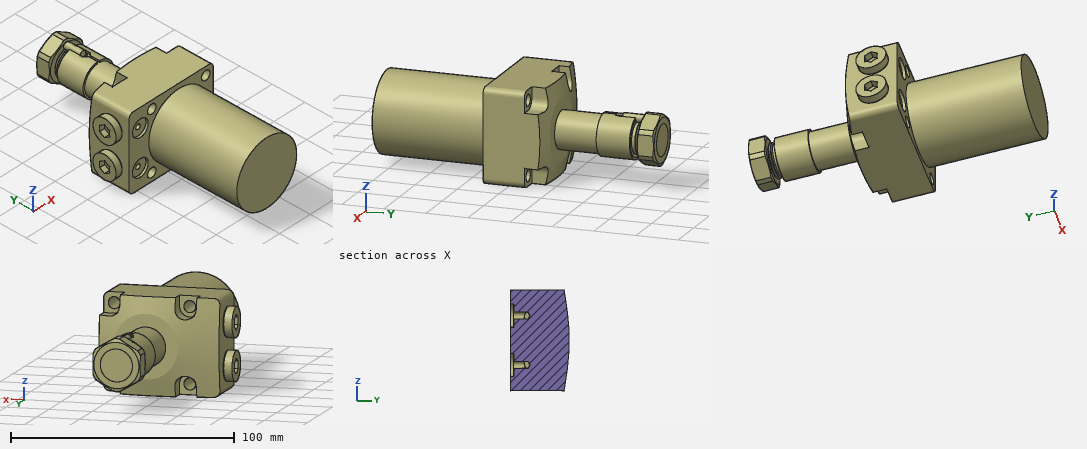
import cadquery as cq
import math


overall_length = 131.0
barrel_length = 54.0
barrel_radius = 19.5
flange_size = 45.0
flange_half = flange_size / 2
flange_left = 32.5
flange_height = 29.1
flange_corner_radius = 3.0
crown_radius = 14.9
crown_slope = math.tan(math.radians(15))

screw_pitch_half = 17.5
screw_hole_radius = 2.8
spot_face_radius = 4.7
spot_face_y = 19.6

port_x = -25.0
port_z = 11.0
port_recess_radius = 5.1
port_recess_depth = 1.5
port_passage_radius = 1.5
port_passage_depth = 7.9
drill_tip_angle = 118

plug_y = 11.0
plug_z = 10.0
plug_head_radius = 7.1
plug_head_height = 4.2
plug_head_rim = 0.4
plug_head_rim_step = 0.2
plug_shank_radius = 4.8
plug_shank_length = 7.3
plug_socket_width = 6.0
plug_socket_depth = 3.3

rod_radius = 9.0
neck_start = 65.1
neck_radius = 7.5
thread_crest_radius = 8.3
thread_pitch = 1.0
thread_start = 66.7
thread_turns = 2

collar_start = 49.3
collar_end = neck_start
collar_radius = 10.1
collar_slot_center = 57.1
collar_slot_radius = 2.2
collar_slit_width = 1.2

pin_radius = 2.0
pin_z = rod_radius
pin_start = 58.8

nut_end = overall_length - barrel_length
nut_start = 68.9
nut_width = 22.0
nut_corner_radius = 12.0
nut_chamfer_height = 0.5
nut_chamfer_width = 1.6

corner_factor = 2 / math.sqrt(3)


def y_cylinder(radius, start, end, x=0, z=0):
    """Cylinder along Y from start to end."""
    base = cq.Vector(x, start, z)
    return cq.Workplane(cq.Solid.makeCylinder(radius, end - start, base, cq.Vector(0, 1, 0)))


def turned(profile):
    """Solid of revolution about the Y axis from (radius, y) points."""
    return cq.Workplane("XY").polyline(profile).close().revolve(360, (0, 0), (0, 1))


def y_hexagon(width, start, end):
    """Hexagonal bar along Y with corners at +Z and -Z."""
    bar = cq.Workplane("XZ", origin=(0, start, 0)).polygon(6, width * corner_factor).extrude(start - end)
    return bar.rotate((0, 0, 0), (0, 1, 0), 90)


def crowned_envelope():
    """Flat top disc that falls away as a cone beyond the crown radius."""
    far_radius = 2 * flange_left
    far_y = flange_height - (far_radius - crown_radius) * crown_slope
    return turned([
        (0, 0),
        (far_radius, 0),
        (far_radius, far_y),
        (crown_radius, flange_height),
        (0, flange_height),
    ])


def spot_face_pocket(x, z_side, open_to_right):
    """Round-ended clearance for a screw head, open to the nearest flange edge."""
    depth = flange_height - spot_face_y
    pocket = y_cylinder(spot_face_radius, spot_face_y, flange_height, x, z_side * screw_pitch_half)

    def clearance(x_size, z_size, x_middle, z_middle):
        return cq.Workplane("XY").box(x_size, depth, z_size).translate(
            (x_middle, spot_face_y + depth / 2, z_middle))

    reach = flange_half
    z_middle = z_side * (screw_pitch_half + reach / 2)
    pocket = pocket.union(clearance(2 * spot_face_radius, reach, x, z_middle))
    if open_to_right:
        x_middle = x + reach / 2
        pocket = pocket.union(clearance(reach, 2 * spot_face_radius, x_middle, z_side * screw_pitch_half))
        pocket = pocket.union(clearance(reach, reach, x_middle, z_middle))
    return pocket


def port_passage(z):
    """Small drilled hole from an oil port into the plug bore, with a conical end."""
    tip_length = port_passage_radius / math.tan(math.radians(drill_tip_angle / 2))
    hole = y_cylinder(port_passage_radius, 0, port_passage_depth, port_x, z)
    tip = cq.Solid.makeCone(
        port_passage_radius,
        0,
        tip_length,
        cq.Vector(port_x, port_passage_depth, z),
        cq.Vector(0, 1, 0),
    )
    return hole.union(cq.Workplane(tip))


def plug_bore(z):
    """Flat-ended hole along X for a plug shank."""
    return cq.Workplane(cq.Solid.makeCylinder(
        plug_shank_radius,
        plug_shank_length,
        cq.Vector(-flange_left, plug_y, z),
        cq.Vector(1, 0, 0),
    ))


def make_housing():
    width = flange_left + flange_half
    flange = (
        cq.Workplane("XY")
        .box(width, flange_height, flange_size)
        .translate(((flange_half - flange_left) / 2, flange_height / 2, 0))
        .edges("|Y")
        .fillet(flange_corner_radius)
        .intersect(crowned_envelope())
    )
    body = flange.union(y_cylinder(barrel_radius, -barrel_length, 0))
    body = body.cut(y_cylinder(rod_radius, 0, flange_height))
    for z_side in (-1, 1):
        for x in (-screw_pitch_half, screw_pitch_half):
            body = body.cut(y_cylinder(screw_hole_radius, 0, flange_height, x, z_side * screw_pitch_half))
            body = body.cut(spot_face_pocket(x, z_side, x > 0))
        body = body.cut(y_cylinder(port_recess_radius, 0, port_recess_depth, port_x, z_side * port_z))
        body = body.cut(port_passage(z_side * port_z))
        body = body.cut(plug_bore(z_side * plug_z))
    return body


def make_plug(z):
    """Screw plug with a round head and a hexagon socket; the shank points along +X."""
    shank_end = plug_head_height + plug_shank_length
    rim_radius = plug_head_radius - plug_head_rim_step
    plug = turned([
        (0, 0),
        (plug_head_radius, 0),
        (plug_head_radius, plug_head_height - plug_head_rim),
        (rim_radius, plug_head_height),
        (plug_shank_radius, plug_head_height),
        (plug_shank_radius, shank_end),
        (0, shank_end),
    ])
    plug = plug.cut(y_hexagon(plug_socket_width, 0, plug_socket_depth))
    plug = plug.rotate((0, 0, 0), (0, 0, 1), -90)
    return plug.translate((-flange_left - plug_head_height, plug_y, z))


def pin_groove():
    """Bed of the pin: a round groove with a ball end."""
    ball = cq.Workplane("XY").sphere(pin_radius).translate((0, pin_start, pin_z))
    return y_cylinder(pin_radius, pin_start, nut_start, 0, pin_z).union(ball)


def make_rod():
    rod = y_cylinder(rod_radius, 0, neck_start).union(y_cylinder(neck_radius, neck_start, nut_end))
    for turn in range(thread_turns):
        start = thread_start + turn * thread_pitch
        crest = turned([
            (0, start),
            (neck_radius, start),
            (thread_crest_radius, start + thread_pitch / 2),
            (neck_radius, start + thread_pitch),
            (0, start + thread_pitch),
        ])
        rod = rod.union(crest)
    return rod.cut(pin_groove())


def collar_gap(width, start, end):
    """Straight cutter through the +Z wall of the collar."""
    outline = cq.Workplane("XY").center(0, (start + end) / 2).rect(width, end - start)
    return outline.extrude(collar_radius)


def make_collar():
    collar = y_cylinder(collar_radius, collar_start, collar_end)
    collar = collar.cut(y_cylinder(rod_radius, collar_start, collar_end))
    slot_end = cq.Workplane("XY").center(0, collar_slot_center)
    slot_end = slot_end.circle(collar_slot_radius).extrude(collar_radius)
    slot = collar_gap(2 * collar_slot_radius, collar_slot_center, collar_end)
    slit = collar_gap(collar_slit_width, collar_start, collar_slot_center)
    return collar.cut(slot_end).cut(slot).cut(slit)


def make_pin():
    return y_cylinder(pin_radius, pin_start, nut_start, 0, pin_z)


def make_nut():
    chamfer_radius = nut_corner_radius - nut_chamfer_width
    corner_envelope = turned([
        (0, nut_start),
        (chamfer_radius, nut_start),
        (nut_corner_radius, nut_start + nut_chamfer_height),
        (nut_corner_radius, nut_end - nut_chamfer_height),
        (chamfer_radius, nut_end),
        (0, nut_end),
    ])
    nut = y_hexagon(nut_width, nut_start, nut_end).intersect(corner_envelope)
    return nut.cut(y_cylinder(neck_radius, nut_start, nut_end))


housing = make_housing()
plugs = [make_plug(z_side * plug_z) for z_side in (-1, 1)]
rod = make_rod()
collar = make_collar()
pin = make_pin()
nut = make_nut()

result = cq.Compound.makeCompound([
    housing.val(),
    *[plug.val() for plug in plugs],
    rod.val(),
    collar.val(),
    pin.val(),
    nut.val(),
])